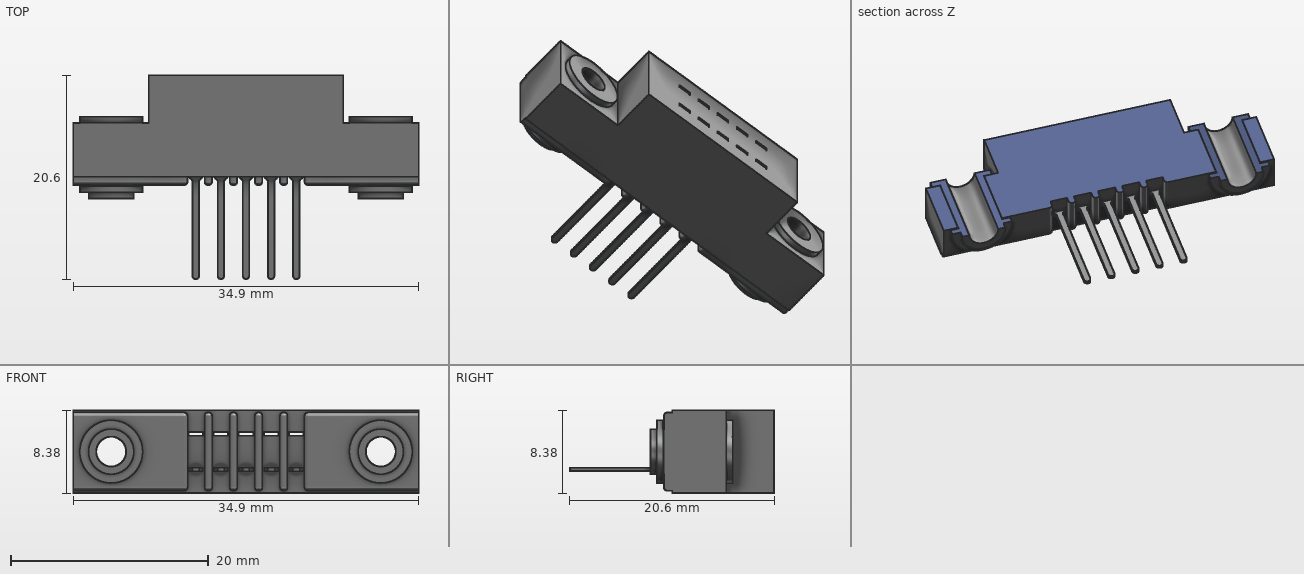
import cadquery as cq


body_length = 34.92
body_height = 8.38
ear_depth = 5.46
nose_length = 19.68
nose_depth = 4.83

raise_depth = 0.84
raise_height = 7.94
pad_spacing = 11.8
rib_width = 0.76
pad_round = 0.42
rib_round = 0.37

contact_count = 5
pitch = 2.54
row_offset = 1.79
slot_width = 1.42
slot_height = 0.34
tail_width = 0.68
tail_end = 15.79

bushing_spacing = 27.25
bore_diameter = 3.0
shank_diameter = 4.57
flange_diameter = 6.35
flange_thickness = 0.64
flange_gap = 0.08
collar_length = 0.64

recess_y = -ear_depth
front_y = recess_y - raise_depth
nose_y = nose_depth
contact_xs = [(i - (contact_count - 1) / 2) * pitch for i in range(contact_count)]
rib_xs = [x + pitch / 2 for x in contact_xs[:-1]]
bushing_xs = [-bushing_spacing / 2, bushing_spacing / 2]


def block(x_start, x_end, y_start, y_end, height, z_middle=0.0):
    """Rectangular block between two X and two Y places, centred on z_middle."""
    size = (x_end - x_start, y_end - y_start, height)
    return (
        cq.Workplane("XY")
        .box(*size)
        .translate(((x_start + x_end) / 2, (y_start + y_end) / 2, z_middle))
    )


def cylinder(x, y_start, y_end, diameter):
    """Cylinder along Y between two Y places, on the middle plane."""
    return (
        cq.Workplane("XZ", origin=(x, y_end, 0))
        .circle(diameter / 2)
        .extrude(y_end - y_start)
    )


def make_pad():
    """Left raised pad, rounded around its front and inner faces, square at the housing end."""
    pad = block(-body_length / 2, -pad_spacing / 2, front_y, recess_y, raise_height)
    return pad.faces("<Y or >X").edges("not(>Y or <X)").fillet(pad_round)


def make_rib(x):
    """Raised rib between two contacts, rounded on every edge except at its root."""
    rib = block(x - rib_width / 2, x + rib_width / 2, front_y, recess_y, raise_height)
    return rib.edges("not >Y").fillet(rib_round)


def make_housing():
    housing = block(-body_length / 2, body_length / 2, recess_y, 0, body_height)
    housing = housing.union(block(-nose_length / 2, nose_length / 2, recess_y, nose_y, body_height))

    left_pad = make_pad()
    housing = housing.union(left_pad).union(left_pad.mirror("YZ"))
    for x in rib_xs:
        housing = housing.union(make_rib(x))

    for x in contact_xs:
        for z in (-row_offset, row_offset):
            slot = block(x - slot_width / 2, x + slot_width / 2, recess_y, nose_y, slot_height, z)
            housing = housing.cut(slot)

    for x in bushing_xs:
        housing = housing.cut(cylinder(x, front_y, 0, shank_diameter))
    return housing


def make_contact(x):
    """Flat contact: a wide blade in the slot, 45 degree shoulders, a narrow tail and a rounded tip."""
    blade_half = slot_width / 2
    tail_half = tail_width / 2
    shoulder_y = recess_y - (blade_half - tail_half)
    tip_start_y = tail_half - tail_end
    return (
        cq.Workplane("XY", origin=(x, 0, -row_offset - slot_height / 2))
        .moveTo(blade_half, nose_y)
        .lineTo(blade_half, recess_y)
        .lineTo(tail_half, shoulder_y)
        .lineTo(tail_half, tip_start_y)
        .threePointArc((0, -tail_end), (-tail_half, tip_start_y))
        .lineTo(-tail_half, shoulder_y)
        .lineTo(-blade_half, recess_y)
        .lineTo(-blade_half, nose_y)
        .close()
        .extrude(slot_height)
    )


def make_bushing(x):
    """Tubular bushing with a flange on each side of the ear and a short collar in front."""
    flange_back_y = front_y - flange_gap
    flange_front_y = flange_back_y - flange_thickness
    collar_y = flange_front_y - collar_length
    bushing = cylinder(x, collar_y, flange_thickness, shank_diameter)
    bushing = bushing.union(cylinder(x, flange_front_y, flange_back_y, flange_diameter))
    bushing = bushing.union(cylinder(x, 0, flange_thickness, flange_diameter))
    return bushing.cut(cylinder(x, collar_y, flange_thickness, bore_diameter))


housing = make_housing()
contacts = [make_contact(x) for x in contact_xs]
bushings = [make_bushing(x) for x in bushing_xs]

result = cq.Compound.makeCompound(
    [housing.val()] + [contact.val() for contact in contacts] + [bushing.val() for bushing in bushings]
)